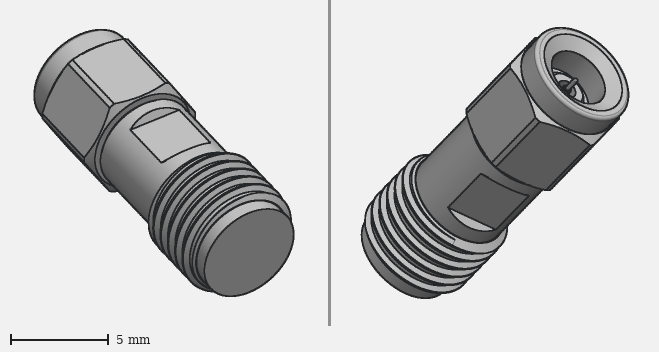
import cadquery as cq
import math


total_length = 16.29

nose_radius = 2.88
nose_length = 1.4
nose_fillet = 0.2
hex_end = 6.0
hex_across_flats = 5.95
hex_corner_radius = 6.7 / 2
hex_face_radius = 2.87
hex_chamfer_angle = 30.0

mouth_radius = 2.4
bore_radius = 1.65
mouth_depth = 0.44
cavity_depth = 1.95

boss_radius = 1.17
boss_face = 1.47
boss_chamfer = 0.21
contact_bore_radius = 0.52
contact_bore_end = 2.28
contact_radius = 0.23
contact_shoulder = 1.45
pin_radius = 0.13
pin_tip = 0.65
pin_fillet = 0.05

barrel_start = 6.03
barrel_radius = 2.69
barrel_chamfer = 0.21
neck_radius = 2.12

flat_height = 2.25
flat_start = 7.17
flat_end = 10.18
flat_ramp_angle = 60.0
flat_cut_clearance = 0.16

thread_start = 11.32
thread_end = 15.52
thread_root_radius = 2.88
thread_crest_radius = 3.18
thread_pitch = 0.705
thread_crest_width = 0.09
thread_flank_angle = 30.0
thread_top_crest = 11.97
thread_lead_turns = 2
thread_turns = 9
thread_root_overlap = 0.13
thread_crest_clearance = 0.05
thread_end_radius = 2.72
thread_chamfer_angle = 30.0


def revolve_profile(points):
    """Solid of revolution about the X axis from (x, radius) points."""
    return cq.Workplane("XY").polyline(points).close().revolve(360, (0, 0, 0), (1, 0, 0))


def rod(start, end, radius):
    """Round rod along X."""
    return cq.Workplane("YZ", origin=(start, 0, 0)).circle(radius).extrude(end - start)


def double_chamfered_rod(start, end, face_radius, crest_radius, chamfer_angle):
    """Rod along X with a conical chamfer, measured from the end faces, at both ends."""
    run = (crest_radius - face_radius) * math.tan(math.radians(chamfer_angle))
    return revolve_profile([
        (start, 0),
        (start, face_radius),
        (start + run, crest_radius),
        (end - run, crest_radius),
        (end, face_radius),
        (end, 0),
    ])


def make_nut():
    """Round nose and hexagon with its corners turned down and chamfered."""
    nose = rod(0, nose_length, nose_radius).faces("<X").edges().fillet(nose_fillet)
    hexagon = (
        cq.Workplane("YZ", origin=(nose_length, 0, 0))
        .polygon(6, hex_across_flats, circumscribed=True)
        .extrude(hex_end - nose_length)
    )
    corner_envelope = double_chamfered_rod(
        nose_length, hex_end, hex_face_radius, hex_corner_radius, hex_chamfer_angle
    )
    hexagon = hexagon.rotate((0, 0, 0), (1, 0, 0), 90)
    return nose.union(hexagon.intersect(corner_envelope))


def make_cavity():
    """Space cut into the nose: tapered mouth and a straight bore."""
    return revolve_profile([
        (0, 0),
        (0, mouth_radius),
        (mouth_depth, bore_radius),
        (cavity_depth, bore_radius),
        (cavity_depth, 0),
    ])


def make_contacts():
    """Hollow boss standing in the cavity, and the stepped pin at its centre."""
    boss = rod(boss_face, contact_bore_end, boss_radius).faces("<X").edges().chamfer(boss_chamfer)
    boss = boss.cut(rod(boss_face, contact_bore_end, contact_bore_radius))
    contact = rod(contact_shoulder, contact_bore_end, contact_radius)
    pin = rod(pin_tip, contact_shoulder, pin_radius).faces("<X").edges().fillet(pin_fillet)
    return boss, contact.union(pin)


def make_barrel():
    """Round barrel with a chamfered front edge and a narrow neck joining it to the nut."""
    barrel = rod(barrel_start, total_length, barrel_radius)
    barrel = barrel.faces("<X").edges().chamfer(barrel_chamfer)
    return barrel.union(rod(hex_end, barrel_start, neck_radius))


def make_flat_cutter():
    """Trapezoidal prism that cuts the spanner flat on the +Z side."""
    height = barrel_radius - flat_height + flat_cut_clearance
    run = height / math.tan(math.radians(flat_ramp_angle))
    return (
        cq.Workplane("XZ")
        .polyline([
            (flat_start, flat_height),
            (flat_end, flat_height),
            (flat_end + run, flat_height + height),
            (flat_start - run, flat_height + height),
        ])
        .close()
        .extrude(barrel_radius, both=True)
    )


def make_thread():
    """Right-handed helical ridge on a root rod, trimmed to the chamfered ends of the band."""
    flank_slope = math.tan(math.radians(thread_flank_angle))
    base_radius = thread_root_radius - thread_root_overlap
    half_crest = thread_crest_width / 2
    half_base = half_crest + (thread_crest_radius - base_radius) * flank_slope
    helix_start = thread_top_crest - thread_lead_turns * thread_pitch
    helix_length = thread_turns * thread_pitch
    helix = cq.Wire.makeHelix(thread_pitch, helix_length, base_radius)
    ridge = (
        cq.Workplane("XZ")
        .polyline([
            (base_radius, -half_base),
            (thread_crest_radius, -half_crest),
            (thread_crest_radius, half_crest),
            (base_radius, half_base),
        ])
        .close()
        .sweep(cq.Workplane(obj=helix), isFrenet=True)
    )
    ridge = ridge.rotate((0, 0, 0), (0, 1, 0), 90)
    ridge = ridge.rotate((0, 0, 0), (1, 0, 0), 180)
    ridge = ridge.translate((helix_start, 0, 0))
    core = rod(helix_start - thread_pitch, helix_start + helix_length + thread_pitch, thread_root_radius)
    envelope = double_chamfered_rod(
        thread_start,
        thread_end,
        thread_end_radius,
        thread_crest_radius + thread_crest_clearance,
        thread_chamfer_angle,
    )
    return core.union(ridge).intersect(envelope)


flat_cutter = make_flat_cutter()
barrel = make_barrel().cut(flat_cutter).cut(flat_cutter.rotate((0, 0, 0), (1, 0, 0), 180))
boss, contact = make_contacts()

body = make_nut().union(barrel).cut(make_cavity())
body = body.cut(rod(cavity_depth, contact_bore_end, contact_bore_radius))
result = body.union(boss).union(contact).union(make_thread())